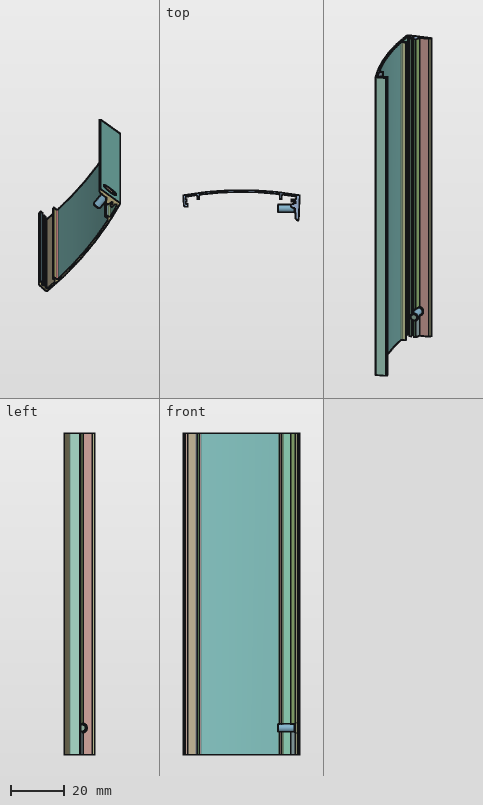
import cadquery as cq
import math

length = 120.0
corner_width = 43.62
depth = 11.57
half_width = corner_width / 2

crown_radius = 120.0
skin = 0.8
inner_radius = crown_radius - skin
edge_round = 0.3

ledge_top = -3.55
ledge_bottom = -4.35

left_outer_foot = (-21.55, -5.98)
left_inner_x = -20.8
left_bead_x = -20.4
left_hook_x = -20.05
left_hook_top = -5.2
left_hook_bottom = -6.3
left_hook_slope_x = -21.0

right_outer_foot = (21.35, -11.15)
right_tip_x = 21.0
right_inner_x = 20.1
right_inner_foot = right_tip_x - right_inner_x - depth
right_top_inner_x = 20.4
ledge_x = 18.6
ledge_root_round = 0.5
catch_x = 18.3
catch_root_top = -4.8
catch_tip_top = -5.5
catch_tip_bottom = -6.2
catch_root_bottom = -7.15

rib_centers = (-16.1, 14.65)
rib_width = 0.75
rib_bottom = -3.4
rib_root_round = 0.55

pin_diameter = 3.0
head_diameter = 6.0
pin_tip_x = 13.5
head_face_x = 21.5
pin_y = -6.87
pin_z = 10.0
tip_chamfer = 0.3
head_height = 1.75


def arch_y(radius, x):
    """Height of a skin surface at x; both surfaces share one centre below the crown."""
    return math.sqrt(radius ** 2 - x ** 2) - crown_radius


def edge_along_z(x, y):
    """Selector for the lengthwise edge nearest to (x, y)."""
    return cq.selectors.NearestToPointSelector((x, y, length / 2))


def make_shell():
    """Skin, both walls, hook, ledge and catch as one extruded outline."""
    corner_y = arch_y(crown_radius, half_width)
    outline = (
        cq.Workplane("XY")
        .moveTo(-half_width, corner_y)
        .threePointArc((0, 0), (half_width, corner_y))
        .lineTo(*right_outer_foot)
        .lineTo(right_tip_x, -depth)
        .lineTo(right_inner_x, right_inner_foot)
        .lineTo(right_inner_x, catch_root_bottom)
        .lineTo(catch_x, catch_tip_bottom)
        .lineTo(catch_x, catch_tip_top)
        .lineTo(right_inner_x, catch_root_top)
        .lineTo(right_inner_x, ledge_bottom)
        .lineTo(ledge_x, ledge_bottom)
        .lineTo(ledge_x, ledge_top)
        .lineTo(right_top_inner_x, ledge_top)
        .lineTo(right_top_inner_x, arch_y(inner_radius, right_top_inner_x))
        .threePointArc((0, -skin), (left_inner_x, arch_y(inner_radius, left_inner_x)))
        .lineTo(left_inner_x, ledge_top)
        .lineTo(left_bead_x, ledge_top)
        .lineTo(left_bead_x, ledge_bottom)
        .lineTo(left_inner_x, ledge_bottom)
        .lineTo(left_inner_x, left_hook_top)
        .lineTo(left_hook_x, left_hook_top)
        .lineTo(left_hook_x, left_hook_bottom)
        .lineTo(left_hook_slope_x, left_hook_bottom)
        .lineTo(*left_outer_foot)
        .close()
    )
    shell = outline.extrude(length)
    for side in (-half_width, half_width):
        shell = shell.edges(edge_along_z(side, corner_y)).fillet(edge_round)
    return shell.edges(edge_along_z(right_top_inner_x, ledge_top)).fillet(ledge_root_round)


def add_ribs(shell):
    """Two lengthwise ribs under the skin, rounded at their roots."""
    for center in rib_centers:
        rib_top = arch_y(inner_radius, center) + skin / 2
        rib = (
            cq.Workplane("XY")
            .center(center, (rib_top + rib_bottom) / 2)
            .rect(rib_width, rib_top - rib_bottom)
            .extrude(length)
        )
        shell = shell.union(rib)
        for side in (-rib_width / 2, rib_width / 2):
            root_x = center + side
            root_y = arch_y(inner_radius, root_x)
            shell = shell.edges(edge_along_z(root_x, root_y)).fillet(rib_root_round)
    return shell


def pin_solid():
    """Pin along X: chamfered tip, straight shank and countersunk head."""
    half = (
        cq.Workplane("XY")
        .moveTo(pin_tip_x, 0)
        .lineTo(pin_tip_x, pin_diameter / 2 - tip_chamfer)
        .lineTo(pin_tip_x + tip_chamfer, pin_diameter / 2)
        .lineTo(head_face_x - head_height, pin_diameter / 2)
        .lineTo(head_face_x, head_diameter / 2)
        .lineTo(head_face_x, 0)
        .close()
    )
    return half.revolve(360, (0, 0, 0), (1, 0, 0)).translate((0, pin_y, pin_z))


def head_clearance():
    """Space outside the head face, so the head sits in an open recess."""
    return (
        cq.Workplane("YZ", origin=(head_face_x, pin_y, pin_z))
        .circle(head_diameter / 2)
        .extrude(half_width - head_face_x)
    )


pin = pin_solid()
cover = add_ribs(make_shell()).cut(pin).cut(head_clearance())

result = cq.Compound.makeCompound([cover.val(), pin.val()])